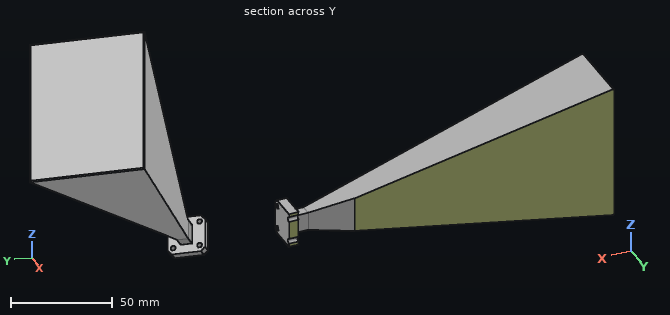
import cadquery as cq

total_length = 175.5
mouth_width = 58.8
mouth_height = 73.2
rim_setback = 0.61
rim_inset = 0.61
guide_width = 5.8
guide_height = 10.0
guide_length = 6.8
flange_side = 19.1
flange_thickness = 5.3
flange_chamfer = 2.1
hole_diameter = 2.5
hole_spacing_y = 13.5
hole_spacing_z = 12.6

flange_start = total_length - flange_thickness
guide_start = flange_start - guide_length


def tapered_block(start, end, start_size, end_size):
    """Solid between two centred rectangles, each given as (width, height)."""
    return (
        cq.Workplane("YZ", origin=(start, 0, 0))
        .rect(*start_size)
        .workplane(offset=end - start)
        .rect(*end_size)
        .loft(ruled=True)
    )


def make_horn():
    """Pyramidal horn with a narrow bevel around its closed mouth."""
    mouth = (mouth_width, mouth_height)
    front_face = (mouth_width - 2 * rim_inset, mouth_height - 2 * rim_inset)
    throat = (guide_width, guide_height)
    rim = tapered_block(0, rim_setback, front_face, mouth)
    return rim.union(tapered_block(rim_setback, guide_start, mouth, throat))


def make_guide():
    """Straight rectangular waveguide from the throat to the flange."""
    return (
        cq.Workplane("YZ", origin=(guide_start, 0, 0))
        .rect(guide_width, guide_height)
        .extrude(guide_length)
    )


def make_flange():
    """Square flange with chamfered corners and four through holes."""
    return (
        cq.Workplane("YZ", origin=(flange_start, 0, 0))
        .rect(flange_side, flange_side)
        .extrude(flange_thickness)
        .edges("|X")
        .chamfer(flange_chamfer)
        .faces(">X")
        .workplane(origin=(total_length, 0, 0))
        .rarray(hole_spacing_y, hole_spacing_z, 2, 2)
        .hole(hole_diameter)
    )


result = make_horn().union(make_guide()).union(make_flange())